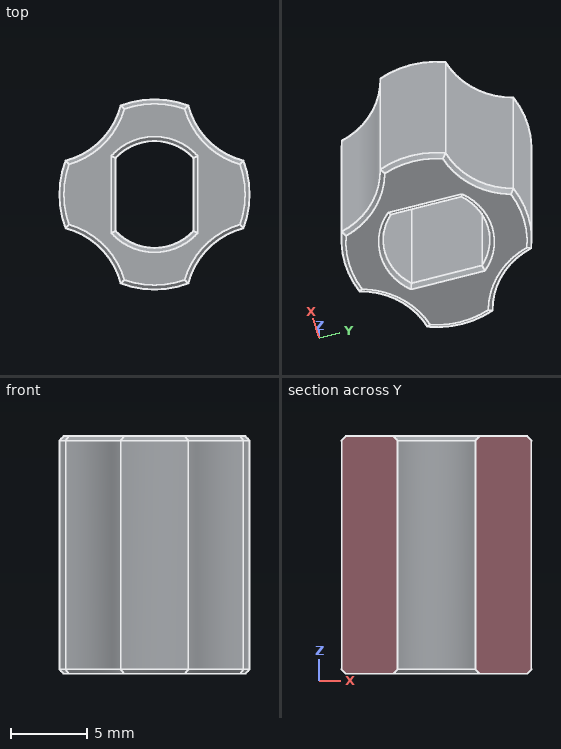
import cadquery as cq
import math

height = 15.62
body_diameter = 12.5
scallop_radius = 5.0
scallop_count = 4
web_radius = 5.0
bore_diameter = 7.0
bore_across_flats = 5.1
edge_chamfer = 0.3

scallop_center_radius = web_radius + scallop_radius
scallop_step = 2 * math.pi / scallop_count


def make_body():
    """Round bar with full-length scallops cut between the lobes."""
    body = cq.Workplane("XY").circle(body_diameter / 2).extrude(height)
    for index in range(scallop_count):
        angle = (index + 0.5) * scallop_step
        center_x = scallop_center_radius * math.cos(angle)
        center_y = scallop_center_radius * math.sin(angle)
        scallop = cq.Workplane("XY").center(center_x, center_y).circle(scallop_radius).extrude(height)
        body = body.cut(scallop)
    return body


def make_bore():
    """Double-D through bore with its two flats facing along X."""
    round_bore = cq.Workplane("XY").circle(bore_diameter / 2).extrude(height)
    flats_block = cq.Workplane("XY").rect(bore_across_flats, bore_diameter).extrude(height)
    return round_bore.intersect(flats_block)


def chamfer_ends(part):
    """Break the outer and bore edges of both end faces."""
    return part.faces("|Z").edges().chamfer(edge_chamfer)


result = chamfer_ends(make_body().cut(make_bore()))